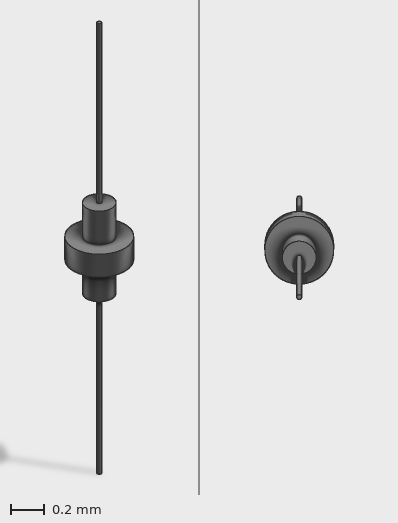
import cadquery as cq

wire_diameter = 0.03
wire_length = 3.13
sleeve_diameter = 0.20
sleeve_length = 0.63
flange_diameter = 0.41
flange_thickness = 0.16


def centered_cylinder(diameter, length):
    """Cylinder on the Z axis, centred on the origin."""
    return cq.Workplane("XY").cylinder(length, diameter / 2)


wire = centered_cylinder(wire_diameter, wire_length)

sleeve = centered_cylinder(sleeve_diameter, sleeve_length)

flange = centered_cylinder(flange_diameter, flange_thickness)

result = flange.union(sleeve).union(wire)